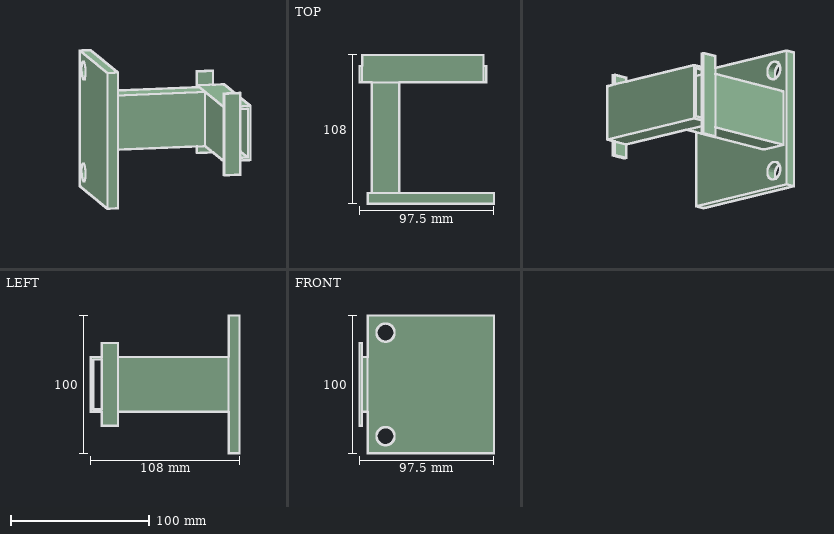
import cadquery as cq


plate_left = 6.0
plate_width = 91.5
plate_thickness = 8.0
plate_height = 100.0
hole_diameter = 13.0
hole_side_inset = 13.0
hole_spacing = 75.0

section_depth = 20.0
section_height = 40.0
wall = 2.0

overall_depth = 108.0
post_left = 9.0
post_length = overall_depth - plate_thickness - section_depth

cross_length = 87.9
strap_thickness = 2.0
strap_depth = 12.0
strap_height = 60.0

cross_front = plate_thickness + post_length


def box_at(left, front, width, depth, height):
    """Box with its left front edge at (left, front), centred on Z = 0."""
    return (
        cq.Workplane("XY")
        .box(width, depth, height, centered=(False, False, True))
        .translate((left, front, 0))
    )


def make_base_plate():
    """Flat plate with two through holes near its left edge."""
    plate = box_at(plate_left, 0, plate_width, plate_thickness, plate_height)
    hole_x = plate_left + hole_side_inset
    hole_centres = [(hole_x, side * hole_spacing / 2) for side in (-1, 1)]
    holes = (
        cq.Workplane("XZ")
        .pushPoints(hole_centres)
        .circle(hole_diameter / 2)
        .extrude(-plate_thickness)
    )
    return plate.cut(holes)


def make_post():
    """Post standing off the back of the base plate."""
    return box_at(post_left, plate_thickness, section_depth, post_length, section_height)


def make_cross_tube():
    """Rectangular tube along X, open at both ends."""
    outside = box_at(strap_thickness, cross_front, cross_length, section_depth, section_height)
    bore = box_at(
        strap_thickness,
        cross_front + wall,
        cross_length,
        section_depth - 2 * wall,
        section_height - 2 * wall,
    )
    return outside.cut(bore)


def make_strap(left):
    """Upright strap across one end of the cross tube, flush with its front."""
    return box_at(left, cross_front, strap_thickness, strap_depth, strap_height)


base_plate = make_base_plate()
post = make_post()
cross_tube = make_cross_tube()
strap_lefts = (0, strap_thickness + cross_length)
straps = [make_strap(left).val() for left in strap_lefts]

result = cq.Compound.makeCompound([base_plate.val(), post.val(), cross_tube.val(), *straps])